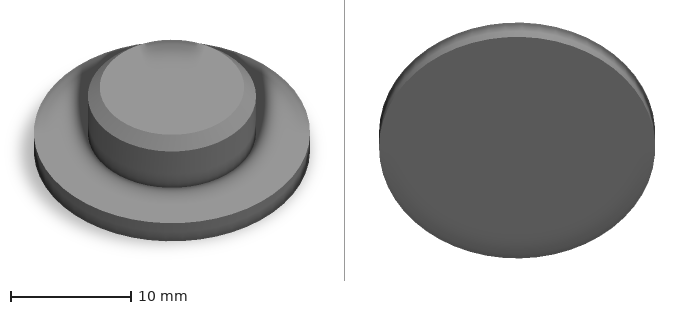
import cadquery as cq

flange_diameter = 23.0
flange_thickness = 2.0
boss_diameter = 14.0
total_height = 7.0
boss_chamfer = 1.0

boss_height = total_height - flange_thickness

flange = cq.Workplane("XY").circle(flange_diameter / 2).extrude(flange_thickness)

boss = (
    cq.Workplane("XY")
    .workplane(offset=flange_thickness)
    .circle(boss_diameter / 2)
    .extrude(boss_height)
    .faces(">Z")
    .chamfer(boss_chamfer)
)

result = flange.union(boss)